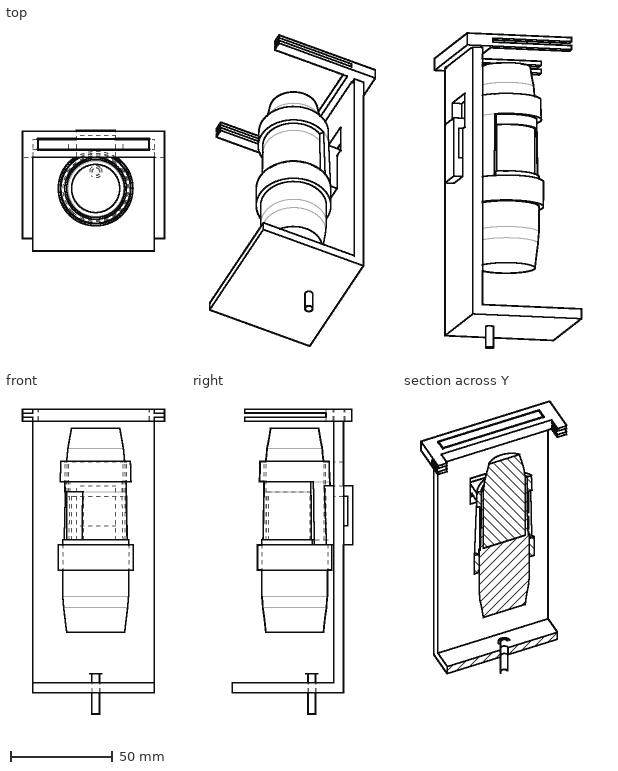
import cadquery as cq
import math

plate = 5.0
bracket_width = 60.0
base_depth = 55.0
base_bottom = 10.5
overall_height = 150.3
tongue_width = 54.4
window_width = 26.8
window_bottom = 107.5
window_height = 16.8

fork_width = 70.0
fork_depth = 52.9
fork_thickness = 6.0
fork_back = 4.0
fork_bridge = 13.0
slit_height = 2.0
tongue_clearance = 0.38

axis_x = 1.0
tube_y = -15.8
tube_diameter = 3.9
tube_bore = 3.6
tube_height = 20.0
flange_diameter = 6.0
flange_thickness = 0.2

torch_y = -24.2
bottle_top = 141.0
bottle_shoulder = 130.9
bottle_top_radius = 11.9
bottle_shoulder_radius = 13.7
bottle_radius = 14.3
case_bottom = 40.3
case_lower_bend = 52.6
case_upper_bend = 58.2
case_bottom_radius = 14.3
case_bend_radius = 15.8
case_diameter = 32.5
sleeve_bottom = 86.0
sleeve_bottom_radius = 15.6
sleeve_top_radius = 15.2
case_window_top = 109.5
case_window_start = 148.0
case_window_end = 245.0

collar_top = 124.6
collar_bottom = 114.5
collar_top_radius = 17.1
collar_bottom_radius = 17.5
shell_bottom = 80.4
shell_start = 32.0
shell_end = 180.0 - shell_start
ring_diameter = 36.8
ring_top = 83.4
ring_bottom = 71.0
hook_width = 19.1
hook_top = 112.5
hook_back = 4.5

pad_thickness = 2.0
pad_bottom = 92.7

wall_top = overall_height - fork_thickness
fork_front = fork_back - fork_depth
case_radius = case_diameter / 2
ring_radius = ring_diameter / 2
sector_reach = 2 * ring_radius


def block(x_center, width, y_front, y_back, z_bottom, z_top):
    """Box centred on x_center between the given Y and Z limits."""
    return cq.Workplane("XY").box(
        width, y_back - y_front, z_top - z_bottom, centered=(True, False, False)
    ).translate((x_center, y_front, z_bottom))


def rod(y, diameter, z_bottom, z_top):
    """Vertical cylinder at axis_x."""
    return cq.Workplane("XY", origin=(axis_x, y, z_bottom)).circle(diameter / 2).extrude(z_top - z_bottom)


def turned(profile):
    """Solid of revolution about the torch axis from (radius, z) points."""
    return (
        cq.Workplane("XZ", origin=(axis_x, torch_y, 0))
        .polyline(profile)
        .close()
        .revolve(360, (0, 0, 0), (0, 1, 0))
    )


def sector(start, end, z_bottom, z_top):
    """Pie-shaped prism about the torch axis, reaching past every turned body."""
    def at(degrees):
        angle = math.radians(degrees)
        return sector_reach * math.cos(angle), sector_reach * math.sin(angle)

    return (
        cq.Workplane("XY", origin=(axis_x, torch_y, z_bottom))
        .lineTo(*at(start))
        .threePointArc(at((start + end) / 2), at(end))
        .close()
        .extrude(z_top - z_bottom)
    )


def make_bracket():
    wall = block(0, bracket_width, -plate, 0, base_bottom, wall_top)
    base = block(0, bracket_width, -base_depth, 0, base_bottom, base_bottom + plate)
    tongue = block(0, tongue_width, -plate, 0, wall_top, overall_height)
    window = block(axis_x, window_width, -plate, 0, window_bottom, window_bottom + window_height)
    tube_hole = rod(tube_y, tube_diameter, base_bottom, base_bottom + plate)
    return wall.union(base).union(tongue).cut(window).cut(tube_hole)


def make_fork():
    inner_edge = fork_back - fork_bridge
    slit_bottom = wall_top + (fork_thickness - slit_height) / 2
    body = block(0, fork_width, fork_front, fork_back, wall_top, overall_height)
    opening = block(0, bracket_width, fork_front, inner_edge, wall_top, overall_height)
    slit = block(0, fork_width, fork_front, inner_edge, slit_bottom, slit_bottom + slit_height)
    tongue_slot = block(
        0,
        tongue_width + 2 * tongue_clearance,
        -plate - tongue_clearance,
        tongue_clearance,
        wall_top,
        overall_height,
    )
    return body.cut(opening).cut(slit).cut(tongue_slot)


def make_tube():
    flange = rod(tube_y, flange_diameter, tube_height - flange_thickness, tube_height)
    bore = rod(tube_y, tube_bore, 0, tube_height)
    return rod(tube_y, tube_diameter, 0, tube_height).union(flange).cut(bore)


def make_bottle():
    return turned([
        (0, sleeve_bottom),
        (bottle_radius, sleeve_bottom),
        (bottle_radius, collar_top),
        (bottle_shoulder_radius, bottle_shoulder),
        (bottle_top_radius, bottle_top),
        (0, bottle_top),
    ])


def make_case_envelope():
    """Case without its bore and window."""
    return turned([
        (0, case_bottom),
        (case_bottom_radius, case_bottom),
        (case_bend_radius, case_lower_bend),
        (case_radius, case_upper_bend),
        (case_radius, sleeve_bottom),
        (sleeve_bottom_radius, sleeve_bottom),
        (sleeve_top_radius, case_window_top),
        (sleeve_top_radius, collar_top),
        (0, collar_top),
    ])


def make_case(envelope, bottle):
    window = sector(case_window_start, case_window_end, sleeve_bottom, case_window_top)
    return envelope.cut(bottle).cut(window)


def make_holder(case_envelope):
    collar = turned([
        (0, collar_bottom),
        (collar_bottom_radius, collar_bottom),
        (collar_top_radius, collar_top),
        (0, collar_top),
    ])
    shell = turned([
        (0, shell_bottom),
        (ring_radius, shell_bottom),
        (collar_bottom_radius, collar_bottom),
        (0, collar_bottom),
    ]).intersect(sector(shell_start, shell_end, shell_bottom, collar_bottom))
    ring = rod(torch_y, ring_diameter, ring_bottom, ring_top)

    front_leg = block(axis_x, hook_width, torch_y, -plate, ring_top, hook_top)
    bridge = block(axis_x, hook_width, -plate, 0, window_bottom, hook_top)
    back_leg = block(axis_x, hook_width, 0, hook_back, ring_top, hook_top)

    holder = collar.union(shell).union(ring).union(front_leg).union(bridge).union(back_leg)
    return holder.cut(case_envelope)


def make_pad():
    return block(axis_x, hook_width, 0, pad_thickness, pad_bottom, window_bottom)


bracket = make_bracket()
fork = make_fork()
tube = make_tube()
bottle = make_bottle()
case_envelope = make_case_envelope()
case = make_case(case_envelope, bottle)
pad = make_pad()
holder = make_holder(case_envelope).cut(pad)

result = cq.Compound.makeCompound([
    bracket.val(),
    fork.val(),
    tube.val(),
    bottle.val(),
    case.val(),
    holder.val(),
    pad.val(),
])